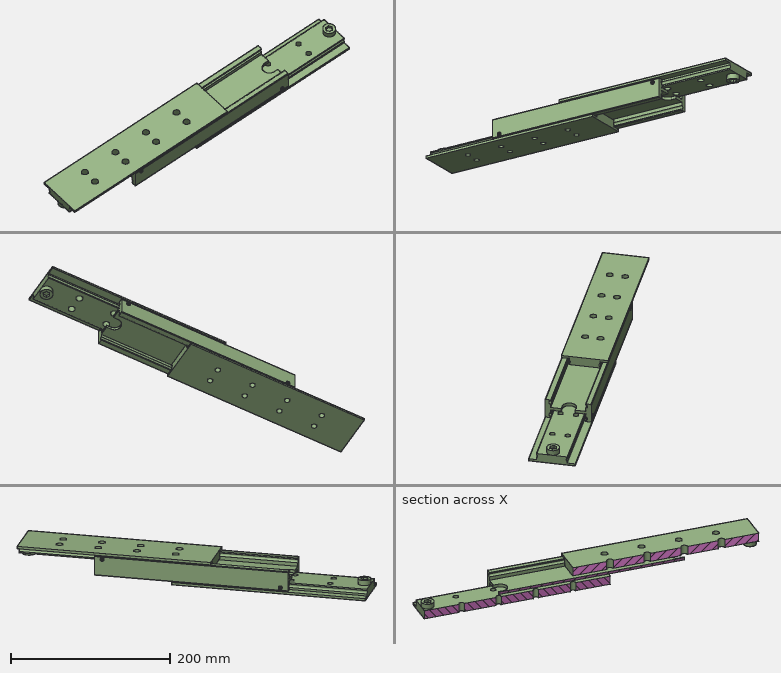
import cadquery as cq

OVERALL_LENGTH = 450.0
OVERALL_WIDTH = 60.0
OVERALL_HEIGHT = 34.0
MEMBER_LENGTH = 250.0
TOP_Z = OVERALL_HEIGHT / 2
HALF_WIDTH = OVERALL_WIDTH / 2

FLANGE_THICKNESS = 3.0
RAIL_HEIGHT = 12.0
TONGUE_HALF_WIDTH = 20.0
RACE_DROP = 8.0
RACE_HALF_HEIGHT = 2.2
RAIL_RACE_DEPTH = 1.5

UPPER_HOLE_DIAMETER = 8.5
LOWER_HOLE_DIAMETER = 6.8
HOLE_SPACING = 20.0
HOLE_PITCH = MEMBER_LENGTH / 5
HOLE_ROWS = 4

HEAD_DIAMETER = 16.0
HEAD_HEIGHT = 6.8
SOCKET_FLATS = 8.0
SOCKET_DEPTH = 3.5

RUNNING_GAP = 1.0
WALL_INNER_X = 22.5
WALL_CHAMFER = 1.0
WEB_THICKNESS = 4.0
CARRIAGE_RACE_DEPTH = 2.2
NOTCH_WIDTH = 18.0
NOTCH_DEPTH = 15.5

PIN_DIAMETER = 5.0
PIN_INSET = 10.0
PIN_RECESS = 1.0
PIN_SOCKET_DIAMETER = 2.2
PIN_SOCKET_DEPTH = 2.2

RACE_Z = TOP_Z - RACE_DROP


def extrude_along_y(section, y_start):
    """Extrude an XZ section one member length toward -Y from y_start."""
    return section.extrude(MEMBER_LENGTH).translate((0, y_start, 0))


def make_rail(hole_diameter):
    """Rail in the upper position, with its flange outward (+Z), reaching the -Y end of the assembly."""
    y_end = -OVERALL_LENGTH / 2
    bottom_z = TOP_Z - RAIL_HEIGHT
    flange_z = TOP_Z - FLANGE_THICKNESS
    race_x = TONGUE_HALF_WIDTH - RAIL_RACE_DEPTH
    section = (
        cq.Workplane("XZ")
        .moveTo(0, TOP_Z)
        .lineTo(HALF_WIDTH, TOP_Z)
        .lineTo(HALF_WIDTH, flange_z)
        .lineTo(TONGUE_HALF_WIDTH, flange_z)
        .lineTo(TONGUE_HALF_WIDTH, RACE_Z + RACE_HALF_HEIGHT)
        .threePointArc((race_x, RACE_Z), (TONGUE_HALF_WIDTH, RACE_Z - RACE_HALF_HEIGHT))
        .lineTo(TONGUE_HALF_WIDTH, bottom_z)
        .lineTo(0, bottom_z)
        .mirrorY()
    )
    rail = extrude_along_y(section, y_end + MEMBER_LENGTH)

    head_plane = cq.Workplane("XY", origin=(0, y_end + HEAD_DIAMETER / 2, bottom_z - HEAD_HEIGHT))
    head = head_plane.circle(HEAD_DIAMETER / 2).extrude(HEAD_HEIGHT)
    socket = head_plane.polygon(6, SOCKET_FLATS, circumscribed=True).extrude(SOCKET_DEPTH)
    head = head.cut(socket)
    rail = rail.union(head)

    holes = (
        cq.Workplane("XY", origin=(0, y_end + MEMBER_LENGTH / 2, bottom_z))
        .rarray(HOLE_SPACING, HOLE_PITCH, 2, HOLE_ROWS)
        .circle(hole_diameter / 2)
        .extrude(RAIL_HEIGHT)
    )
    return rail.cut(holes)


def half_turn(body):
    """Turn a body half a turn about the X axis, swapping top with bottom and -Y with +Y."""
    return body.rotate((0, 0, 0), (1, 0, 0), 180)


def race_cylinder(diameter, x_inner, x_outer):
    """Cylinder along X on the stop pin axis of the upper +X race, near the -Y end of the carriage."""
    y = PIN_INSET - MEMBER_LENGTH / 2
    return (
        cq.Workplane("YZ", origin=(x_inner, y, RACE_Z))
        .circle(diameter / 2)
        .extrude(x_outer - x_inner)
    )


def at_all_stops(body):
    """Copies at both walls, for the upper races at the -Y end and the lower races at the +Y end."""
    pair = body.union(body.mirror("YZ"))
    return pair.union(half_turn(pair))


def make_carriage():
    """H-shaped carriage: two walls with races on a web that is notched at both ends."""
    wall_z = TOP_Z - FLANGE_THICKNESS - RUNNING_GAP
    race_x = WALL_INNER_X + CARRIAGE_RACE_DEPTH
    section = (
        cq.Workplane("XZ")
        .moveTo(0, WEB_THICKNESS / 2)
        .lineTo(WALL_INNER_X, WEB_THICKNESS / 2)
        .lineTo(WALL_INNER_X, RACE_Z - RACE_HALF_HEIGHT)
        .threePointArc((race_x, RACE_Z), (WALL_INNER_X, RACE_Z + RACE_HALF_HEIGHT))
        .lineTo(WALL_INNER_X, wall_z)
        .lineTo(HALF_WIDTH - WALL_CHAMFER, wall_z)
        .lineTo(HALF_WIDTH, wall_z - WALL_CHAMFER)
        .lineTo(HALF_WIDTH, -wall_z + WALL_CHAMFER)
        .lineTo(HALF_WIDTH - WALL_CHAMFER, -wall_z)
        .lineTo(WALL_INNER_X, -wall_z)
        .lineTo(WALL_INNER_X, -RACE_Z - RACE_HALF_HEIGHT)
        .threePointArc((race_x, -RACE_Z), (WALL_INNER_X, -RACE_Z + RACE_HALF_HEIGHT))
        .lineTo(WALL_INNER_X, -WEB_THICKNESS / 2)
        .lineTo(0, -WEB_THICKNESS / 2)
        .mirrorY()
    )
    carriage = extrude_along_y(section, MEMBER_LENGTH / 2)

    for y_end in (-MEMBER_LENGTH / 2, MEMBER_LENGTH / 2):
        notch = (
            cq.Workplane("XY", origin=(0, y_end, 0))
            .slot2D(2 * NOTCH_DEPTH, NOTCH_WIDTH, 90)
            .extrude(WEB_THICKNESS / 2, both=True)
        )
        carriage = carriage.cut(notch)

    head_x = HALF_WIDTH - PIN_RECESS
    pin = race_cylinder(PIN_DIAMETER, WALL_INNER_X, head_x)
    recess = race_cylinder(PIN_DIAMETER, head_x, HALF_WIDTH)
    socket = race_cylinder(PIN_SOCKET_DIAMETER, head_x - PIN_SOCKET_DEPTH, head_x)
    carriage = carriage.union(at_all_stops(pin))
    return carriage.cut(at_all_stops(recess)).cut(at_all_stops(socket))


upper_rail = make_rail(UPPER_HOLE_DIAMETER)
lower_rail = half_turn(make_rail(LOWER_HOLE_DIAMETER))
carriage = make_carriage()

result = cq.Compound.makeCompound([upper_rail.val(), lower_rail.val(), carriage.val()])